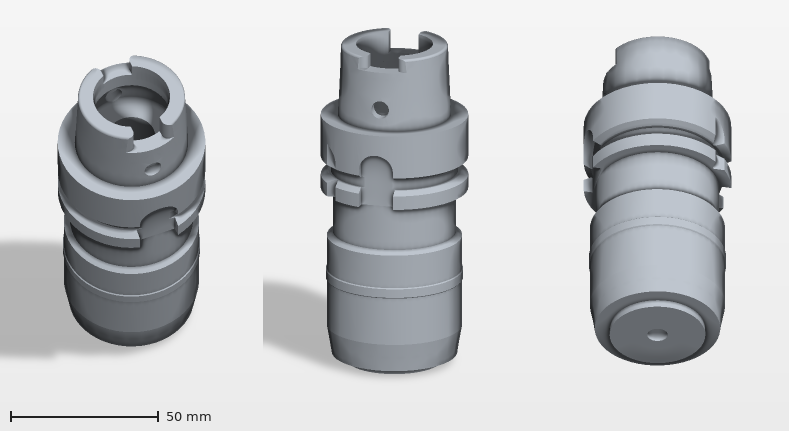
import cadquery as cq

total_length = 112.4
flange_top = 87.5
flange_bottom = 61.4
groove_middle = 69.4
groove_floor_width = 3.7
groove_mouth_width = 6.4
shank_bottom = 45.7
sleeve_shoulder = 44.4
ring_top = 32.5
ring_bottom = 29.5
nose_taper_top = 12.6
nose_taper_bottom = 2.7

flange_diameter = 50.0
flange_radius = flange_diameter / 2
groove_lip_radius = 22.7
groove_radius = 21.6
shank_radius = 20.9
sleeve_radius = 22.9
ring_radius = 23.3
nose_taper_end_radius = 21.2
nose_radius = 16.2
cone_base_radius = 19.2
cone_top_radius = 18.1
cone_rim_fillet = 0.9

mouth_radius = 13.0
mouth_depth = 10.3
chamber_radius = 15.7
chamber_flare_height = 0.9
chamber_depth = 21.4
chamber_floor_fillet = 1.6
socket_radius = 8.0
socket_depth = 33.7
coolant_radius = 3.5

notch_half_width = 5.3
notch_corner_radius = 2.1
notch_tine_reach = 16.2
left_notch_depth = 4.6
right_notch_depth = 7.5

cross_hole_radius = 3.0
cross_hole_height = 94.8

slot_top = 80.4
left_slot_width = 11.9
right_slot_width = 14.0
slot_floor = 21.0

orientation_floor = 15.6
orientation_edge = 15.4
orientation_width = left_slot_width
orientation_center = orientation_edge + orientation_width / 2


def make_turned_body():
    """Revolve the outer outline about Z and round the rim of the cone."""
    half_floor = groove_floor_width / 2
    half_mouth = groove_mouth_width / 2
    ring_chamfer = ring_radius - sleeve_radius
    outline = [
        (0, 0),
        (nose_radius, 0),
        (nose_radius, nose_taper_bottom),
        (nose_taper_end_radius, nose_taper_bottom),
        (sleeve_radius, nose_taper_top),
        (sleeve_radius, ring_bottom - ring_chamfer),
        (ring_radius, ring_bottom),
        (ring_radius, ring_top),
        (sleeve_radius, ring_top + ring_chamfer),
        (sleeve_radius, sleeve_shoulder),
        (shank_radius, shank_bottom),
        (shank_radius, flange_bottom),
        (flange_radius, flange_bottom),
        (flange_radius, groove_middle - half_mouth),
        (groove_lip_radius, groove_middle - half_floor),
        (groove_radius, groove_middle - half_floor),
        (groove_radius, groove_middle + half_floor),
        (groove_lip_radius, groove_middle + half_floor),
        (flange_radius, groove_middle + half_mouth),
        (flange_radius, flange_top),
        (cone_base_radius, flange_top),
        (cone_top_radius, total_length),
        (0, total_length),
    ]
    body = cq.Workplane("XZ").polyline(outline).close().revolve(360, (0, 0), (0, 1))
    return body.faces(">Z").edges().fillet(cone_rim_fillet)


def make_bore():
    """Revolve the stepped cavity that runs the whole length of the axis."""
    mouth_bottom = total_length - mouth_depth
    chamber_floor = total_length - chamber_depth
    socket_floor = total_length - socket_depth
    return (
        cq.Workplane("XZ")
        .lineTo(coolant_radius, 0)
        .lineTo(coolant_radius, socket_floor)
        .lineTo(socket_radius, socket_floor)
        .lineTo(socket_radius, chamber_floor)
        .lineTo(chamber_radius - chamber_floor_fillet, chamber_floor)
        .radiusArc((chamber_radius, chamber_floor + chamber_floor_fillet), -chamber_floor_fillet)
        .lineTo(chamber_radius, mouth_bottom - chamber_flare_height)
        .lineTo(mouth_radius, mouth_bottom)
        .lineTo(mouth_radius, total_length)
        .lineTo(0, total_length)
        .close()
        .revolve(360, (0, 0), (0, 1))
    )


def make_drive_notch(side, depth):
    """Cut between the two tines of the rim; side is +1 for +X and -1 for -X."""
    corner_start = notch_tine_reach - notch_corner_radius
    corner_end = notch_half_width + notch_corner_radius
    return (
        cq.Workplane("XY", origin=(0, 0, total_length - depth))
        .moveTo(0, -notch_half_width)
        .lineTo(side * corner_start, -notch_half_width)
        .radiusArc((side * notch_tine_reach, -corner_end), side * notch_corner_radius)
        .lineTo(side * notch_tine_reach, -flange_radius)
        .lineTo(side * flange_radius, -flange_radius)
        .lineTo(side * flange_radius, flange_radius)
        .lineTo(side * notch_tine_reach, flange_radius)
        .lineTo(side * notch_tine_reach, corner_end)
        .radiusArc((side * corner_start, notch_half_width), side * notch_corner_radius)
        .lineTo(0, notch_half_width)
        .close()
        .extrude(depth)
    )


def make_flange_slot(side, floor, width, center_y=0.0):
    """Round-topped slot, open at the bottom, cut along X down to a flat floor."""
    arc_center = slot_top - width / 2
    return (
        cq.Workplane("YZ", origin=(side * floor, 0, 0))
        .moveTo(center_y - width / 2, flange_bottom)
        .lineTo(center_y - width / 2, arc_center)
        .threePointArc((center_y, slot_top), (center_y + width / 2, arc_center))
        .lineTo(center_y + width / 2, flange_bottom)
        .close()
        .extrude(side * (flange_radius - floor))
    )


def make_cross_hole():
    """Round hole along X through both walls of the hollow cone."""
    return (
        cq.Workplane("YZ", origin=(0, 0, cross_hole_height))
        .circle(cross_hole_radius)
        .extrude(flange_radius, both=True)
    )


result = make_turned_body().cut(make_bore())
result = result.cut(make_drive_notch(-1, left_notch_depth))
result = result.cut(make_drive_notch(1, right_notch_depth))
result = result.cut(make_cross_hole())
result = result.cut(make_flange_slot(-1, slot_floor, left_slot_width))
result = result.cut(make_flange_slot(1, slot_floor, right_slot_width))
result = result.cut(make_flange_slot(-1, orientation_floor, orientation_width, orientation_center))